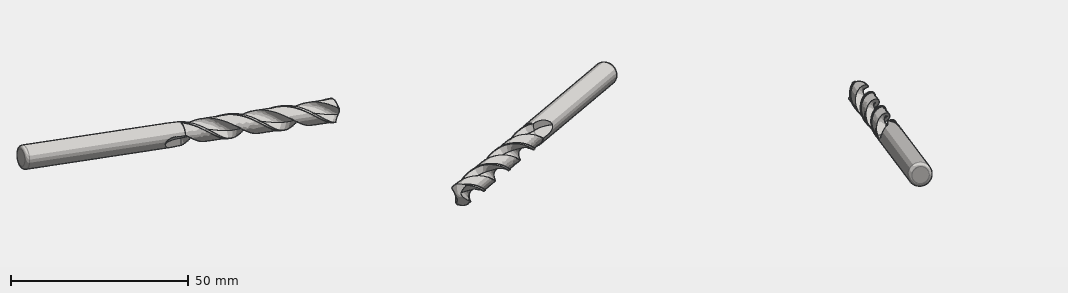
import cadquery as cq
import math

diameter = 7.0
radius = diameter / 2
total_length = 100.0
shank_length = 50.0
flute_length = total_length - shank_length
flute_turns = 1.5
point_angle = 120.0
end_fillet = 1.0

land_radius = 3.3
rake_angle = 264.0
heel_angle = 173.0
margin_angle = 12.0
root_radius = 1.3
root_angle = 252.0
heel_face_sag = 0.8
runout_radius = 8.5
clearance = 2.0


def polar(distance, angle):
    turn = math.radians(angle)
    return (distance * math.cos(turn), distance * math.sin(turn))


def hollow_point(start, end):
    """Midpoint of the heel face, pushed towards the drill axis."""
    mid_x = (start[0] + end[0]) / 2
    mid_y = (start[1] + end[1]) / 2
    scale = 1 - heel_face_sag / math.hypot(mid_x, mid_y)
    return (mid_x * scale, mid_y * scale)


def make_shank():
    return cq.Workplane("XY").circle(radius).extrude(shank_length).faces("<Z").edges().fillet(end_fillet)


def make_fluted_body():
    section = cq.Workplane("XY", origin=(0, 0, shank_length)).moveTo(*polar(radius, rake_angle))
    for half_turn in (0, 180):
        rake = rake_angle + half_turn
        margin_end = rake + margin_angle
        heel = heel_angle + half_turn + 180
        root = polar(root_radius, root_angle + half_turn + 180)
        heel_edge = polar(land_radius, heel)
        section = (
            section
            .threePointArc(polar(radius, rake + margin_angle / 2), polar(radius, margin_end))
            .lineTo(*polar(land_radius, margin_end))
            .threePointArc(polar(land_radius, (margin_end + heel) / 2), heel_edge)
            .threePointArc(hollow_point(heel_edge, root), root)
            .lineTo(*polar(radius, rake + 180))
        )
    return section.close().twistExtrude(flute_length, 360 * flute_turns)


def make_point_envelope():
    """Oversize cylinder ending in the conical drill point."""
    envelope_radius = radius + clearance
    cone_length = envelope_radius / math.tan(math.radians(point_angle / 2))
    outline = [(0, 0), (envelope_radius, 0), (envelope_radius, total_length - cone_length), (0, total_length)]
    return (
        cq.Workplane("XZ")
        .polyline(outline)
        .close()
        .revolve(360, (0, 0), (0, 1))
    )


def make_runout():
    """Flute section swung outwards along an arc, so the flute fades into the shank."""
    root = polar(root_radius, root_angle)
    heel_edge = polar(land_radius, heel_angle)
    rake_edge = polar(radius, rake_angle)
    stretch = clearance / (radius - root_radius)
    rake_end = (
        rake_edge[0] + stretch * (rake_edge[0] - root[0]),
        rake_edge[1] + stretch * (rake_edge[1] - root[1]),
    )
    outer_x = -radius - clearance
    axis_x = root[0] - runout_radius
    return (
        cq.Workplane("XY", origin=(0, 0, shank_length))
        .moveTo(*root)
        .threePointArc(hollow_point(heel_edge, root), heel_edge)
        .lineTo(outer_x, heel_edge[1])
        .lineTo(outer_x, rake_end[1])
        .lineTo(*rake_end)
        .close()
        .revolve(90, (axis_x, 0), (axis_x, 1))
    )


runout = make_runout()
shank = make_shank().cut(runout).cut(runout.rotate((0, 0, 0), (0, 0, 1), 180))
fluted_body = make_fluted_body().intersect(make_point_envelope())
result = shank.union(fluted_body).rotate((0, 0, 0), (1, 0, 0), -90)